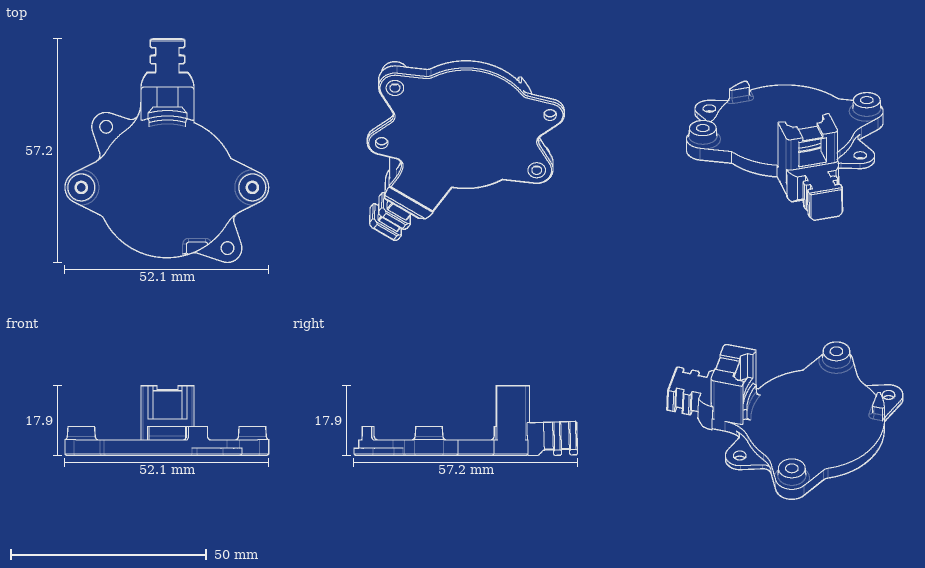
import cadquery as cq
import math

disc_radius = 18.0
plate_height = 4.0
bottom_chamfer = 0.4
lug_radius = 4.2
overall_length = 52.12
lug_center_x = overall_length / 2 - lug_radius
lug_points = [(lug_center_x, 0), (-lug_center_x, 0)]
lug_taper = math.degrees(math.atan(0.5))
lug_run = 0.6
lug_corner = (16.45, 7.3)
wide_blend = 7.7
narrow_blend = 2.0

ear_radius = 3.7
ear_offset = 15.5
ear_directions = (135, -45)
ear_height = 1.9
ear_blend = 2.0
ear_corners = ((16.7, -7.6), (7.0, -16.6), (-16.7, 7.6), (-8.1, 16.9))
ear_hole_diameter = 3.2

raised_top = 7.45
boss_top_diameter = 6.85
boss_base_diameter = 7.2
foot_fillet = 0.9
boss_hole_diameter = 3.2
insert_diameter = 4.5
insert_bore = 2.5
insert_mouth = 3.04
insert_length = 4.0

block_center_x = 0.17
block_half_width = 6.82
block_back_y = 25.7
block_top = 17.85
block_front_radius = 18.28
block_back_fillet = 1.0
block_front_fillet = 0.4
block_plate_blend = 8.7

pocket_width = 9.86
pocket_floor = 9.0
lip_top = 9.35
lip_width = 1.38
pocket_back_y = 20.5
pocket_corner_y = 19.04
window_width = 7.4
window_top = 16.55
notch_width = 5.33
notch_floor = 16.9

rim_inner_radius = 17.25
rim_half_width = 4.66
rim_end_fillet = 1.3
rim_foot_fillet = 1.0
rim_outer_radius = block_front_radius + 1.0

tail_tilt = 1.8
tail_margin = 1.0
tail_top = 8.4
shoulder_start_y = block_back_y - 0.7
shoulder_radius = 6.3
footprint_overlap = 0.3
shoulder_back_y = 29.25
shoulder_chamfer = 1.35
neck_width = 6.0
neck_bottom = 1.25
neck_edge = 0.25
rib_width = 8.9
rib_length = 2.1
rib_starts = (31.55, 35.65)
rib_bottom = -0.2
rib_side_chamfer = 1.4
rib_corner = 0.35
tail_end_y = rib_starts[-1] + rib_length

key_left = 5.07
key_right = 10.4
key_back_y = -14.0
key_corner = 0.5
key_foot_fillet = 1.0
key_reach = 25.0

wide_reach = 1.0
narrow_reach = 0.4
fine_reach = 0.1


def tapered_lug(radius, distance, direction, height):
    """Round-ended lug that widens from its end circle toward the Z axis."""
    sine = math.sin(math.radians(lug_taper))
    cosine = math.cos(math.radians(lug_taper))
    tangent = (distance + radius * sine, radius * cosine)
    run = lug_run * distance
    root = (tangent[0] - run, tangent[1] + run * sine / cosine)
    lug = (
        cq.Workplane("XY")
        .moveTo(root[0], -root[1])
        .lineTo(tangent[0], -tangent[1])
        .threePointArc((distance + radius, 0), tangent)
        .lineTo(*root)
        .close()
        .extrude(height)
    )
    return lug.rotate((0, 0, 0), (0, 0, 1), direction)


def edges_near(x, y, reach=wide_reach):
    """Selector for the upright edges close to a point in plan."""
    return cq.selectors.BoxSelector(
        (x - reach, y - reach, -reach), (x + reach, y + reach, plate_height + reach)
    )


def box_between(x0, x1, y0, y1, z0, z1):
    """Box given by its limits along each axis."""
    return cq.Workplane("XY").box(x1 - x0, y1 - y0, z1 - z0, centered=False).translate((x0, y0, z0))


def centered_box(width, y0, y1, z0, z1):
    """Box centered on X = 0."""
    return box_between(-width / 2, width / 2, y0, y1, z0, z1)


def upright_holes(points, diameter, depth):
    """Cylinders rising from Z = 0, for cutting holes."""
    return cq.Workplane("XY").pushPoints(points).circle(diameter / 2).extrude(depth)


def make_plate_outline(height):
    """Disc, lugs and their blends, extruded from Z = 0."""
    outline = cq.Workplane("XY").circle(disc_radius).extrude(height)
    for direction in (0, 180):
        outline = outline.union(tapered_lug(lug_radius, lug_center_x, direction, height))
    corner_x, corner_y = lug_corner
    for sign in (1, -1):
        corner = edges_near(sign * corner_x, -sign * corner_y)
        outline = outline.edges("|Z").edges(corner).fillet(wide_blend)
    return outline.edges("|Z").edges(edges_near(-corner_x, -corner_y)).fillet(narrow_blend)


def make_base():
    """Plate with the block footprint, ears and chamfered underside."""
    base = make_plate_outline(plate_height)
    block_left = block_center_x - block_half_width
    block_right = block_center_x + block_half_width
    footprint_back_y = shoulder_start_y + footprint_overlap
    footprint = box_between(block_left, block_right, 0, footprint_back_y, 0, plate_height)
    base = base.union(footprint)
    meeting_y = math.sqrt(disc_radius**2 - block_left**2)
    base = base.edges("|Z").edges(edges_near(block_left, meeting_y)).fillet(block_plate_blend)
    distance = ear_offset * math.sqrt(2)
    for direction in ear_directions:
        base = base.union(tapered_lug(ear_radius, distance, direction, ear_height))
    for x, y in ear_corners:
        base = base.edges("|Z").edges(edges_near(x, y, narrow_reach)).fillet(ear_blend)
    return base.faces("<Z").chamfer(bottom_chamfer)


def make_bosses():
    """Tapered bosses with a filleted foot, trimmed to the plate outline."""
    base_radius = boss_base_diameter / 2
    foot_radius = base_radius + foot_fillet
    diagonal = foot_fillet * (1 - math.sqrt(0.5))
    boss = (
        cq.Workplane("XZ")
        .moveTo(0, plate_height)
        .lineTo(foot_radius, plate_height)
        .threePointArc(
            (base_radius + diagonal, plate_height + diagonal),
            (base_radius, plate_height + foot_fillet),
        )
        .lineTo(boss_top_diameter / 2, raised_top)
        .lineTo(0, raised_top)
        .close()
        .revolve(360, (0, 0), (0, 1))
    )
    bosses = cq.Workplane("XY")
    for x, y in lug_points:
        bosses = bosses.union(boss.translate((x, y, 0)))
    return bosses.intersect(make_plate_outline(raised_top))


def make_block():
    """Upright socket block with its pocket, window and notch."""
    half = block_half_width
    block = centered_box(2 * half, 0, block_back_y, plate_height, block_top)
    block = block.edges("|Z and >Y").fillet(block_back_fillet)
    block = block.cut(cq.Workplane("XY").circle(block_front_radius).extrude(block_top))
    block = block.edges("|Z and <Y").fillet(block_front_fillet)

    pocket = (
        cq.Workplane("XY", origin=(0, 0, pocket_floor))
        .moveTo(-pocket_width / 2, 0)
        .lineTo(pocket_width / 2, 0)
        .lineTo(pocket_width / 2, pocket_corner_y)
        .lineTo(window_width / 2, pocket_back_y)
        .lineTo(-window_width / 2, pocket_back_y)
        .lineTo(-pocket_width / 2, pocket_corner_y)
        .close()
        .extrude(block_top)
    )
    window = centered_box(window_width, 0, block_back_y, pocket_floor, window_top)
    notch = centered_box(notch_width, 0, block_back_y, notch_floor, block_top)
    lip = (
        cq.Workplane("XY", origin=(0, 0, pocket_floor))
        .circle(block_front_radius + lip_width)
        .circle(block_front_radius)
        .extrude(lip_top - pocket_floor)
    )
    lip = lip.intersect(centered_box(pocket_width, 0, block_back_y, 0, block_top))
    return block.cut(pocket).cut(window).cut(notch).union(lip)


def make_rim():
    """Curved rim across the foot of the block, flaring into it at both ends."""
    foot_radius = rim_inner_radius - rim_foot_fillet
    diagonal = rim_foot_fillet * (1 - math.sqrt(0.5))
    ring = (
        cq.Workplane("XZ")
        .moveTo(foot_radius, plate_height)
        .lineTo(rim_outer_radius, plate_height)
        .lineTo(rim_outer_radius, raised_top)
        .lineTo(rim_inner_radius, raised_top)
        .lineTo(rim_inner_radius, plate_height + rim_foot_fillet)
        .threePointArc(
            (rim_inner_radius - diagonal, plate_height + diagonal),
            (foot_radius, plate_height),
        )
        .close()
        .revolve(360, (0, 0), (0, 1))
    )
    flare_y = math.sqrt(rim_inner_radius**2 - rim_half_width**2)
    flare_x = rim_half_width + rim_end_fillet
    flare_bend = rim_end_fillet * math.sqrt(0.5)
    span = (
        cq.Workplane("XY")
        .moveTo(-rim_half_width, 0)
        .lineTo(rim_half_width, 0)
        .lineTo(rim_half_width, flare_y)
        .threePointArc(
            (flare_x - flare_bend, flare_y + flare_bend),
            (flare_x, flare_y + rim_end_fillet),
        )
        .lineTo(flare_x, rim_outer_radius)
        .lineTo(-flare_x, rim_outer_radius)
        .lineTo(-flare_x, flare_y + rim_end_fillet)
        .threePointArc(
            (-flare_x + flare_bend, flare_y + flare_bend),
            (-rim_half_width, flare_y),
        )
        .close()
        .extrude(raised_top)
    )
    return ring.intersect(span)


def make_tail():
    """Shoulder, neck and two tie ribs, leaning back as one piece."""
    half = block_half_width
    arc_depth = shoulder_back_y - shoulder_start_y
    arc_inset = shoulder_radius - math.sqrt(shoulder_radius**2 - arc_depth**2)
    mid_depth = arc_depth / 2
    mid_y = shoulder_start_y + mid_depth
    mid_inset = shoulder_radius - math.sqrt(shoulder_radius**2 - mid_depth**2)
    tail = (
        cq.Workplane("XY", origin=(0, 0, -tail_margin))
        .moveTo(-half, shoulder_start_y)
        .lineTo(half, shoulder_start_y)
        .threePointArc((half - mid_inset, mid_y), (half - arc_inset, shoulder_back_y))
        .lineTo(-half + arc_inset, shoulder_back_y)
        .threePointArc((-half + mid_inset, mid_y), (-half, shoulder_start_y))
        .close()
        .extrude(tail_top + tail_margin)
    )
    neck_end_y = tail_end_y - rib_corner
    neck = centered_box(neck_width, shoulder_start_y, neck_end_y, neck_bottom, tail_top)
    tail = tail.union(neck.edges("|Y and <Z").chamfer(neck_edge))
    for start in rib_starts:
        rib = centered_box(rib_width, start, start + rib_length, rib_bottom, tail_top)
        rib = rib.edges("|Y and <Z").chamfer(rib_side_chamfer)
        rib = rib.edges("|Z").chamfer(rib_corner)
        rib = rib.edges("|X and <Z").chamfer(rib_corner)
        if start == rib_starts[-1]:
            rib = rib.edges("|X and >Z and >Y").chamfer(rib_corner)
        tail = tail.union(rib)
    pivot = (0, block_back_y, tail_top)
    tail = tail.rotate(pivot, (1, block_back_y, tail_top), tail_tilt)

    slope_y = shoulder_back_y - shoulder_chamfer
    neck_clear_y = (shoulder_back_y + rib_starts[0]) / 2
    rib_clear_y = tail_end_y + tail_margin
    below = (
        cq.Workplane("YZ", origin=(-half, 0, 0))
        .moveTo(shoulder_start_y, 0)
        .lineTo(slope_y, 0)
        .lineTo(shoulder_back_y, shoulder_chamfer)
        .lineTo(neck_clear_y, shoulder_chamfer)
        .lineTo(neck_clear_y, 0)
        .lineTo(rib_clear_y, 0)
        .lineTo(rib_clear_y, -2 * tail_margin)
        .lineTo(shoulder_start_y, -2 * tail_margin)
        .close()
        .extrude(2 * half)
    )
    return tail.cut(below)


def make_key():
    """Locating key standing on the disc edge, with a filleted foot."""
    slab = box_between(0, disc_radius, -key_reach, 0, bottom_chamfer, plate_height)
    key = box_between(key_left, key_right, -key_reach, key_back_y, plate_height, raised_top)
    key = key.edges("|Z and >Y").fillet(key_corner)
    key = slab.union(key)
    foot = cq.selectors.BoxSelector(
        (key_left - fine_reach, -key_reach + fine_reach, plate_height - fine_reach),
        (key_right + fine_reach, key_back_y + fine_reach, plate_height + fine_reach),
    )
    key = key.edges(foot).fillet(key_foot_fillet)
    key = key.intersect(cq.Workplane("XY").circle(disc_radius).extrude(raised_top))
    corner_y = -math.sqrt(disc_radius**2 - key_left**2)
    front_corner = cq.selectors.BoxSelector(
        (key_left - fine_reach, corner_y - fine_reach, plate_height + key_foot_fillet),
        (key_left + fine_reach, corner_y + fine_reach, raised_top),
    )
    return key.edges("|Z").edges(front_corner).chamfer(key_corner)


def make_housing():
    """Plate, bosses, key, block, rim and tail in one solid, with its holes."""
    housing = make_base().union(make_bosses()).union(make_key())
    for feature in (make_block(), make_rim(), make_tail()):
        housing = housing.union(feature.translate((block_center_x, 0, 0)))
    ear_points = [(-ear_offset, ear_offset), (ear_offset, -ear_offset)]
    housing = housing.cut(upright_holes(ear_points, ear_hole_diameter, ear_height))
    housing = housing.cut(upright_holes(lug_points, boss_hole_diameter, raised_top))
    return housing.cut(upright_holes(lug_points, insert_diameter, insert_length))


def make_insert(x, y):
    """Threaded insert with a lead-in at the top of its bore."""
    insert = cq.Workplane("XY").circle(insert_diameter / 2).circle(insert_bore / 2).extrude(insert_length)
    lead_in = (insert_mouth - insert_bore) / 2
    insert = insert.faces(">Z").edges(cq.selectors.RadiusNthSelector(0)).chamfer(lead_in)
    return insert.translate((x, y, 0))


housing = make_housing()
inserts = [make_insert(x, y) for x, y in lug_points]
result = cq.Compound.makeCompound([housing.solids().val(), *[insert.solids().val() for insert in inserts]])